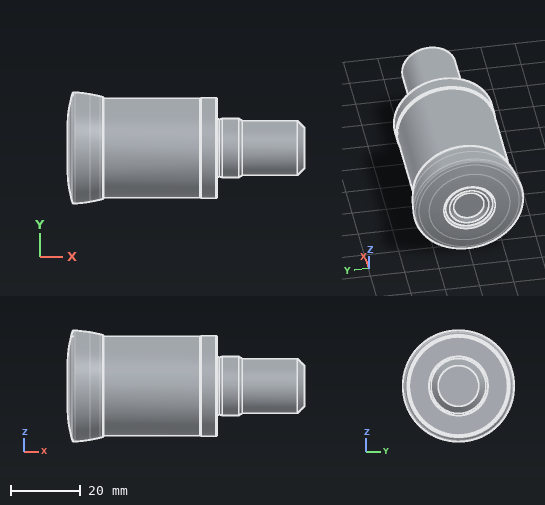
import cadquery as cq

total_length = 68.0

flange_start = 38.0
flange_end = 43.0
flange_chamfer = 0.4
undercut_x = 43.6
collar_start = 44.35
collar_end = 49.1
collar_taper = 1.0
tip_chamfer = 2.05

flange_radius = 29.0 / 2
collar_radius = 17.0 / 2
shaft_radius = 15.8 / 2
undercut_root_radius = 8.2
undercut_face_radius = 8.4
core_radius = 6.9

core_end_x = 0.5
recess_rim_radius = 5.7
recess_floor_radius = 4.4
recess_depth = 0.7

grip_radius = 28.6 / 2
mouth_radius = 7.5
mouth_chamfer = mouth_radius - core_radius
dome_radius = 11.75
dome_x = 0.5
cone_radius = 14.6
cone_x = 1.1
shoulder_radius = 15.6
shoulder_x = 1.35
rim_radius = 32.0 / 2
rim_x = 2.1
rim_slope = 0.06
flare_mid_radius = 15.5
flare_mid_x = 6.4
flare_end_radius = 14.9
flare_end_x = 9.3
flare_foot_radius = 14.7
flare_foot_x = 10.05
flare_lip_radius = 14.4
grip_start_x = 10.5

cone_direction = (cone_x - dome_x, cone_radius - dome_radius)
shoulder_direction = (shoulder_x - cone_x, shoulder_radius - cone_radius)
rim_direction = (1, -rim_slope)


def revolve_about_x(profile):
    """Turn a closed XY outline a full revolution about the X axis."""
    return profile.close().revolve(360, (0, 0, 0), (1, 0, 0))


def make_sleeve():
    """Grip sleeve with a domed end, flared rim and a through bore."""
    profile = (
        cq.Workplane("XY")
        .moveTo(mouth_chamfer, core_radius)
        .lineTo(0, mouth_radius)
        .spline([(dome_x, dome_radius)], tangents=[(0, 1), cone_direction], includeCurrent=True)
        .lineTo(cone_x, cone_radius)
        .lineTo(shoulder_x, shoulder_radius)
        .spline([(rim_x, rim_radius)], tangents=[shoulder_direction, rim_direction], includeCurrent=True)
        .tangentArcPoint((flare_mid_x, flare_mid_radius), relative=False)
        .tangentArcPoint((flare_end_x, flare_end_radius), relative=False)
        .lineTo(flare_foot_x, flare_foot_radius)
        .lineTo(grip_start_x, flare_lip_radius)
        .lineTo(grip_start_x, grip_radius)
        .lineTo(flange_start, grip_radius)
        .lineTo(flange_start, core_radius)
    )
    return revolve_about_x(profile)


def make_spindle():
    """Core through the sleeve, flange, undercut collar and mounting shaft."""
    profile = (
        cq.Workplane("XY")
        .moveTo(core_end_x + recess_depth, 0)
        .lineTo(core_end_x + recess_depth, recess_floor_radius)
        .lineTo(core_end_x, recess_rim_radius)
        .lineTo(core_end_x, core_radius)
        .lineTo(flange_start, core_radius)
        .lineTo(flange_start, flange_radius - flange_chamfer)
        .lineTo(flange_start + flange_chamfer, flange_radius)
        .lineTo(flange_end - flange_chamfer, flange_radius)
        .lineTo(flange_end, flange_radius - flange_chamfer)
        .lineTo(flange_end, undercut_face_radius)
        .lineTo(undercut_x, undercut_root_radius)
        .lineTo(collar_start, collar_radius)
        .lineTo(collar_end, collar_radius)
        .lineTo(collar_end + collar_taper, shaft_radius)
        .lineTo(total_length - tip_chamfer, shaft_radius)
        .lineTo(total_length, shaft_radius - tip_chamfer)
        .lineTo(total_length, 0)
    )
    return revolve_about_x(profile)


sleeve = make_sleeve()
spindle = make_spindle()
result = cq.Compound.makeCompound([sleeve.val(), spindle.val()])